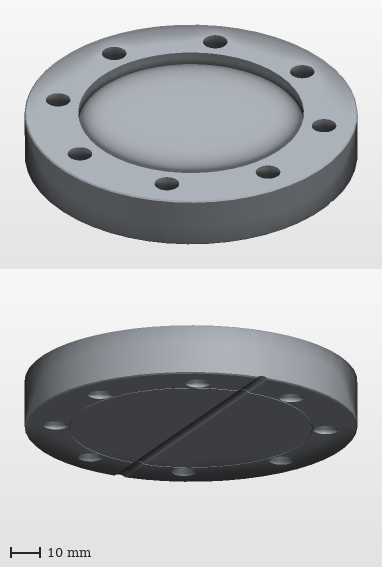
import cadquery as cq

FLANGE_DIAMETER = 113.5
FLANGE_THICKNESS = 17.5
EDGE_CHAMFER = 0.5
BORE_DIAMETER = 77.0
SEAT_DIAMETER = 83.2
LIP_THICKNESS = 4.7

BOLT_COUNT = 8
BOLT_CIRCLE_DIAMETER = 92.2
BOLT_HOLE_DIAMETER = 8.4
BOLT_PITCH_ANGLE = 360.0 / BOLT_COUNT

DISC_DIAMETER = 82.4
DISC_THICKNESS = FLANGE_THICKNESS - LIP_THICKNESS

GROOVE_WIDTH = 4.2
GROOVE_DEPTH = 0.9


def make_groove():
    """Circular-segment bar that cuts the groove across the full diameter."""
    half_width = GROOVE_WIDTH / 2
    return (
        cq.Workplane("YZ")
        .moveTo(-half_width, 0)
        .threePointArc((0, GROOVE_DEPTH), (half_width, 0))
        .close()
        .extrude(FLANGE_DIAMETER / 2, both=True)
    )


def make_bolt_holes():
    """Through holes spaced evenly on the bolt circle."""
    return (
        cq.Workplane("XY")
        .polarArray(BOLT_CIRCLE_DIAMETER / 2, BOLT_PITCH_ANGLE / 2, 360, BOLT_COUNT)
        .circle(BOLT_HOLE_DIAMETER / 2)
        .extrude(FLANGE_THICKNESS)
    )


def make_flange():
    """Chamfered ring with a stepped bore, bolt holes and the underside groove."""
    body = (
        cq.Workplane("XY")
        .circle(FLANGE_DIAMETER / 2)
        .extrude(FLANGE_THICKNESS)
        .edges()
        .chamfer(EDGE_CHAMFER)
    )
    bore = cq.Workplane("XY").circle(BORE_DIAMETER / 2).extrude(FLANGE_THICKNESS)
    seat = cq.Workplane("XY").circle(SEAT_DIAMETER / 2).extrude(DISC_THICKNESS)
    return body.cut(bore).cut(seat).cut(make_bolt_holes()).cut(make_groove())


def make_disc():
    """Plain blank disc, with the groove continuing across its underside."""
    disc = cq.Workplane("XY").circle(DISC_DIAMETER / 2).extrude(DISC_THICKNESS)
    return disc.cut(make_groove())


flange = make_flange()
blank_disc = make_disc()

result = cq.Compound.makeCompound([flange.solids().val(), blank_disc.solids().val()])